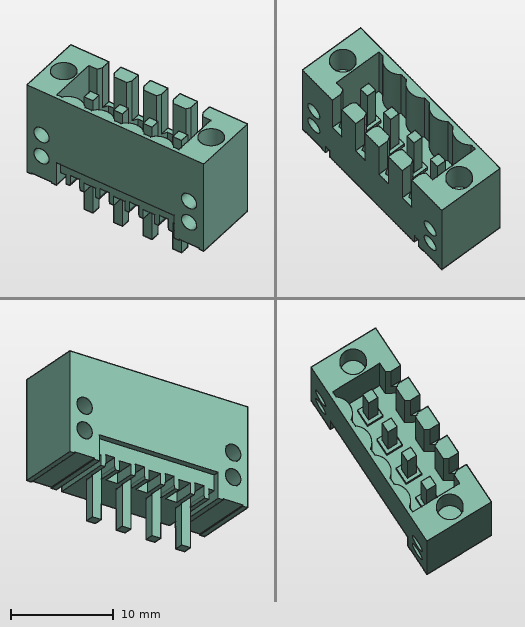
import cadquery as cq


length = 21.0
depth = 7.45
height = 11.05

pin_count = 4
pitch = 3.5
pin_width = 1.05
pin_y = 3.5
pin_top_drop = 1.3
tail_length = 4.5
pin_xs = [(i - (pin_count - 1) / 2) * pitch for i in range(pin_count)]
pin_front_y = pin_y - pin_width / 2

pocket_length = 14.5
front_wall = 0.45
back_wall = 1.6
floor_z = 3.78
pocket_depth = height - floor_z
pocket_back_y = depth - back_wall
collar_width = 1.8
collar_height = 0.42

rib_chord = 2.73
rib_height = 0.7

groove_mouth = 1.97
groove_root = 0.78
groove_depth = 1.03
slot_width = 1.4
slot_depth = 5.05

end_hole_inset = 1.75
bore_diameter = 2.6
bore_y = 3.75
bore_depth = 3.78
cross_diameter = 1.8
cross_zs = [2.84, 5.52]
end_xs = [-length / 2 + end_hole_inset, length / 2 - end_hole_inset]

relief_length = 13.99
relief_height = 2.85
relief_depth = 0.7
gap_width = 0.63
gap_height = 1.13
window_width = 1.35
pin_notch_height = 1.32
flare_width = 1.24
flare_height = 0.34
end_recess_width = 2.33
end_recess_height = 0.13


def box(x_size, y_range, z_range, x_center=0.0):
    """Block centred on x_center that spans the given Y and Z ranges."""
    y_size = y_range[1] - y_range[0]
    z_size = z_range[1] - z_range[0]
    corner = (x_center - x_size / 2, y_range[0], z_range[0])
    return cq.Workplane("XY").box(x_size, y_size, z_size, centered=False).translate(corner)


def rounded_rib(x):
    """Rib with an arc-shaped front that runs the full depth of the pocket."""
    return (
        cq.Workplane("XY", origin=(x, front_wall, floor_z))
        .moveTo(-rib_chord / 2, 0)
        .threePointArc((0, rib_height), (rib_chord / 2, 0))
        .close()
        .extrude(pocket_depth)
    )


def coding_groove(x):
    """Tapered groove in the back wall, down to the pocket floor."""
    return (
        cq.Workplane("XY", origin=(x, pocket_back_y, floor_z))
        .polyline([
            (-groove_mouth / 2, 0),
            (groove_mouth / 2, 0),
            (groove_root / 2, groove_depth),
            (-groove_root / 2, groove_depth),
        ])
        .close()
        .extrude(pocket_depth)
    )


def pin_notch(x):
    """Notch from the relief face to the pin, flared at the underside."""
    return (
        cq.Workplane("XZ", origin=(x, relief_depth, 0))
        .polyline([
            (-flare_width / 2, 0),
            (-pin_width / 2, flare_height),
            (-pin_width / 2, pin_notch_height),
            (pin_width / 2, pin_notch_height),
            (pin_width / 2, flare_height),
            (flare_width / 2, 0),
        ])
        .close()
        .extrude(-(pin_front_y - relief_depth))
    )


def make_pin(x):
    """Straight square contact pin."""
    y_range = (pin_front_y, pin_front_y + pin_width)
    return box(pin_width, y_range, (-tail_length, height - pin_top_drop), x)


def cut_pocket(body):
    """Top pocket with its ribs, pin collars, back-wall grooves and slots."""
    body = body.cut(box(pocket_length, (front_wall, pocket_back_y), (floor_z, height)))
    collar_y = (pin_y - collar_width / 2, pin_y + collar_width / 2)
    for x in pin_xs:
        body = body.union(rounded_rib(x))
        body = body.union(box(collar_width, collar_y, (floor_z, floor_z + collar_height), x))
        body = body.cut(coding_groove(x))
        body = body.cut(box(slot_width, (pocket_back_y, depth), (height - slot_depth, height), x))
    return body


def cut_end_holes(body):
    """Blind screw bores from the top and cross holes through the depth."""
    for x in end_xs:
        bore = cq.Workplane("XY", origin=(x, bore_y, height)).circle(bore_diameter / 2)
        body = body.cut(bore.extrude(-bore_depth))
        for z in cross_zs:
            cross_hole = cq.Workplane("XZ", origin=(x, 0, z)).circle(cross_diameter / 2)
            body = body.cut(cross_hole.extrude(-depth))
    return body


def cut_underside(body):
    """Front relief, end gaps, windows between the pins, pin notches and end recesses."""
    body = body.cut(box(relief_length, (0, relief_depth), (0, relief_height)))
    gap_x = (relief_length - gap_width) / 2
    for x in (-gap_x, gap_x):
        body = body.cut(box(gap_width, (0, depth), (0, gap_height), x))
    for left_x, right_x in zip(pin_xs, pin_xs[1:]):
        window_x = (left_x + right_x) / 2
        body = body.cut(box(window_width, (relief_depth, pin_front_y), (0, gap_height), window_x))
    for x in pin_xs:
        body = body.cut(pin_notch(x))
    for x in end_xs:
        body = body.cut(box(end_recess_width, (0, depth), (0, end_recess_height), x))
    return body


def make_housing(pins):
    """Housing with a matching through hole for every pin."""
    body = box(length, (0, depth), (0, height))
    body = cut_pocket(body)
    body = cut_end_holes(body)
    body = cut_underside(body)
    for pin in pins:
        body = body.cut(pin)
    return body


pins = [make_pin(x) for x in pin_xs]
housing = make_housing(pins)

result = cq.Compound.makeCompound([housing.val(), *[pin.val() for pin in pins]])